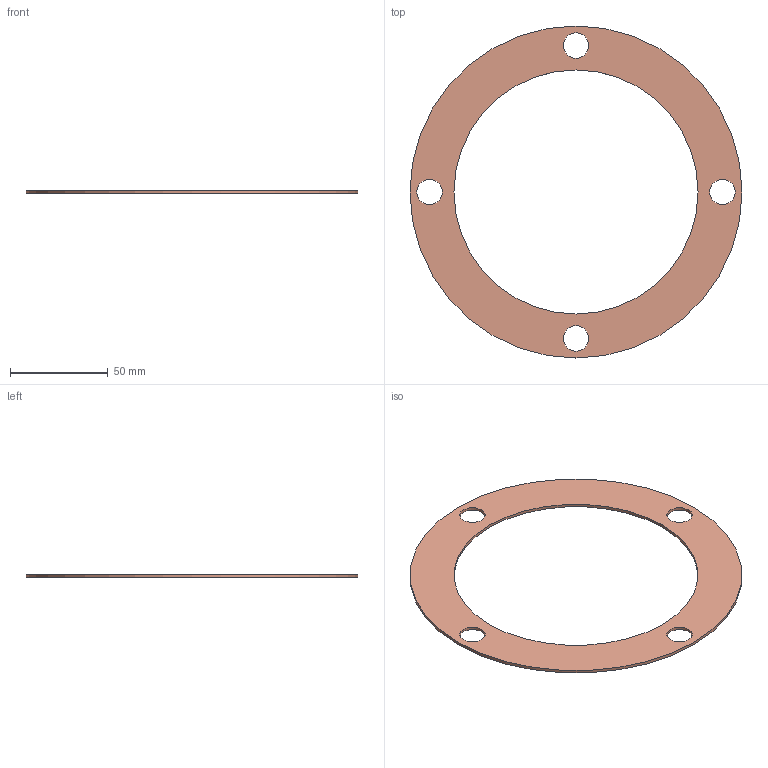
import cadquery as cq

outer_diameter = 170.0
inner_diameter = 125.0
thickness = 1.5

bolt_circle_diameter = 150.0
bolt_hole_diameter = 13.0
bolt_hole_count = 4


def make_ring():
    """Flat annular plate resting on the XY plane."""
    return (
        cq.Workplane("XY")
        .circle(outer_diameter / 2)
        .circle(inner_diameter / 2)
        .extrude(thickness)
    )


def make_bolt_holes():
    """Cylinders for the through holes, the first one on the +X axis."""
    return (
        cq.Workplane("XY")
        .polarArray(bolt_circle_diameter / 2, 0, 360, bolt_hole_count)
        .circle(bolt_hole_diameter / 2)
        .extrude(thickness)
    )


result = make_ring().cut(make_bolt_holes())